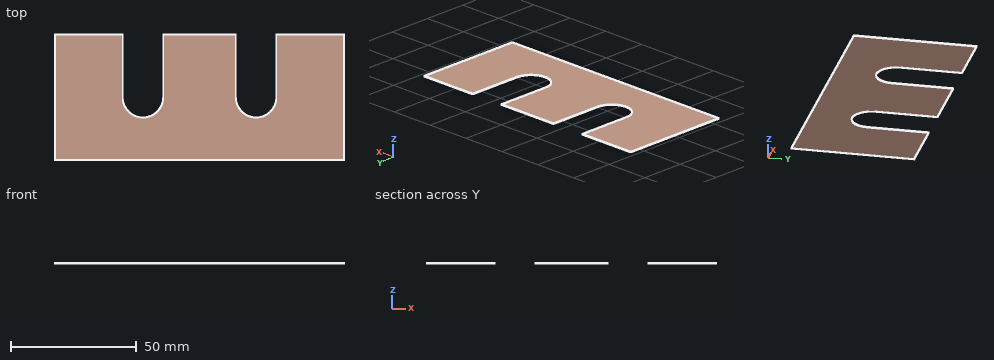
import cadquery as cq

plate_length = 115.0
plate_width = 50.0
plate_thickness = 0.38

slot_width = 16.0
slot_spacing = 45.0
slot_depth = 33.0


def make_plate():
    """Flat rectangular plate."""
    return cq.Workplane("XY").box(plate_length, plate_width, plate_thickness)


def make_slot(center_x):
    """Cutter for one slot: straight sides with a full round at the inner end."""
    radius = slot_width / 2
    open_end_y = plate_width / 2
    arc_center_y = open_end_y - slot_depth + radius
    return (
        cq.Workplane("XY")
        .workplane(offset=-plate_thickness / 2)
        .moveTo(center_x - radius, open_end_y)
        .lineTo(center_x - radius, arc_center_y)
        .threePointArc((center_x, arc_center_y - radius), (center_x + radius, arc_center_y))
        .lineTo(center_x + radius, open_end_y)
        .close()
        .extrude(plate_thickness)
    )


result = make_plate()
for side in (-1, 1):
    result = result.cut(make_slot(side * slot_spacing / 2))